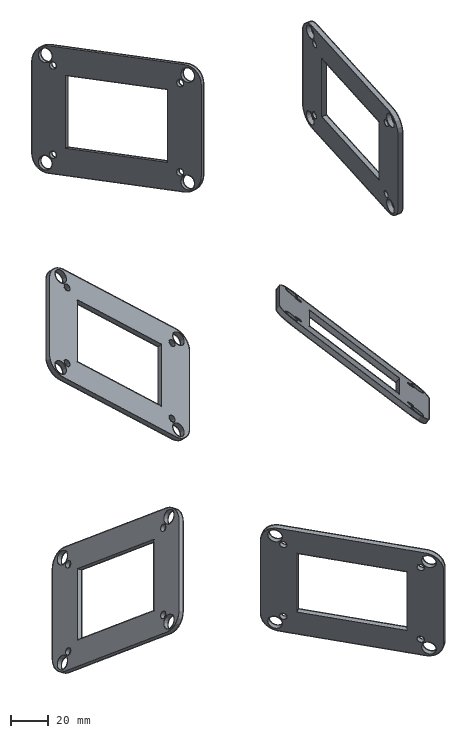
import cadquery as cq

length = 100.0
height = 70.0
thickness = 3.0
corner_radius = 10.0

window_length = 60.0
window_height = 40.0

large_diameter = 8.0
large_spacing_x = 84.0
large_spacing_z = 59.0

small_diameter = 4.0
small_spacing_x = 75.0
small_spacing_z = 49.0


def corner_holes(spacing_x, spacing_z, diameter):
    """Four cylinders through the plate, on a rectangle about its centre."""
    return (
        cq.Workplane("XZ")
        .rect(spacing_x, spacing_z, forConstruction=True)
        .vertices()
        .circle(diameter / 2)
        .extrude(thickness / 2, both=True)
    )


plate = cq.Workplane("XY").box(length, thickness, height).edges("|Y").fillet(corner_radius)
window = cq.Workplane("XY").box(window_length, thickness, window_height)

result = (
    plate.cut(window)
    .cut(corner_holes(large_spacing_x, large_spacing_z, large_diameter))
    .cut(corner_holes(small_spacing_x, small_spacing_z, small_diameter))
)